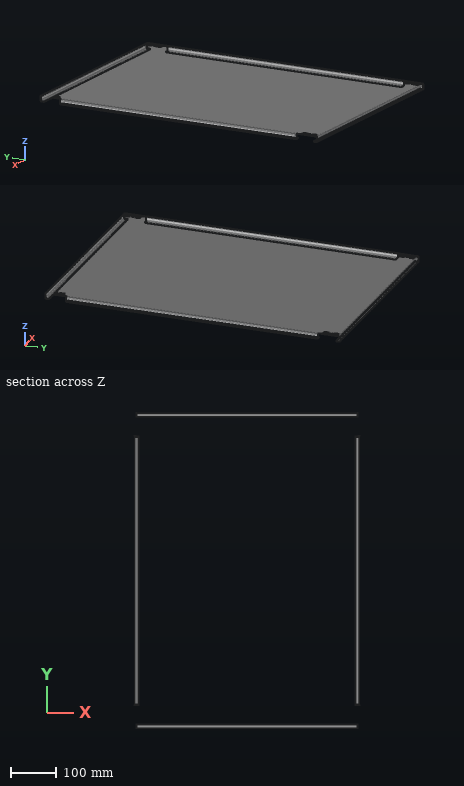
import cadquery as cq

width = 499.0
length = 700.0
height = 15.0

sheet = 2.0
bend_radius = 4.0
lip_depth = 9.0
side_flange_length = 598.0
side_lip_setback = 3.0

panel_width = width - 2 * bend_radius

window_width = 10.5
window_side_gap = 2.0
end_window_length = 9.0
end_window_gap = 8.5
inner_window_length = 10.5
inner_window_gap = 31.5
hole_diameter = 5.5
hole_end_distance = 24.5
window_center_x = panel_width / 2 - window_side_gap - window_width / 2


def channel(plane, span, extent):
    """Sheet channel opening downward, with both lips folded inward."""
    inner_radius = bend_radius - sheet
    outer = (
        cq.Workplane(plane)
        .rect(span, height)
        .extrude(extent / 2, both=True)
    )
    core = (
        cq.Workplane(plane)
        .rect(span - 2 * sheet, height - 2 * sheet)
        .extrude(extent / 2, both=True)
    )
    along = "|Y" if plane == "XZ" else "|X"
    outer = outer.edges(along).fillet(bend_radius)
    core = core.edges(along).fillet(inner_radius)
    mouth = (
        cq.Workplane(plane)
        .center(0, -height / 2)
        .rect(span - 2 * lip_depth, 2 * bend_radius)
        .extrude(extent / 2, both=True)
    )
    return outer.cut(core).cut(mouth)


def bevel_side_lips(channel_body):
    """Trim the bottom corners at both ends of the side flanges."""
    half = side_flange_length / 2
    bottom = -height / 2
    for end in (-1, 1):
        corner = (
            cq.Workplane("YZ")
            .moveTo(end * half, bottom)
            .lineTo(end * (half - side_lip_setback), bottom)
            .lineTo(end * half, bottom + side_lip_setback)
            .close()
            .extrude(width, both=True)
        )
        channel_body = channel_body.cut(corner)
    return channel_body


def mirrored_points(x, y):
    return [(sx * x, sy * y) for sx in (-1, 1) for sy in (-1, 1)]


def window_cutters(gap, window_length):
    """Four rectangular windows through the panel, one at each corner."""
    center_y = length / 2 - gap - window_length / 2
    return (
        cq.Workplane("XY", origin=(0, 0, height / 2 - sheet))
        .pushPoints(mirrored_points(window_center_x, center_y))
        .rect(window_width, window_length)
        .extrude(sheet)
    )


def hole_cutters():
    """Four round holes through the panel, between the windows."""
    return (
        cq.Workplane("XY", origin=(0, 0, height / 2 - sheet))
        .pushPoints(mirrored_points(window_center_x, length / 2 - hole_end_distance))
        .circle(hole_diameter / 2)
        .extrude(sheet)
    )


end_channel = channel("YZ", length, panel_width)
side_channel = bevel_side_lips(channel("XZ", width, side_flange_length))

result = (
    end_channel.union(side_channel)
    .cut(window_cutters(end_window_gap, end_window_length))
    .cut(window_cutters(inner_window_gap, inner_window_length))
    .cut(hole_cutters())
)